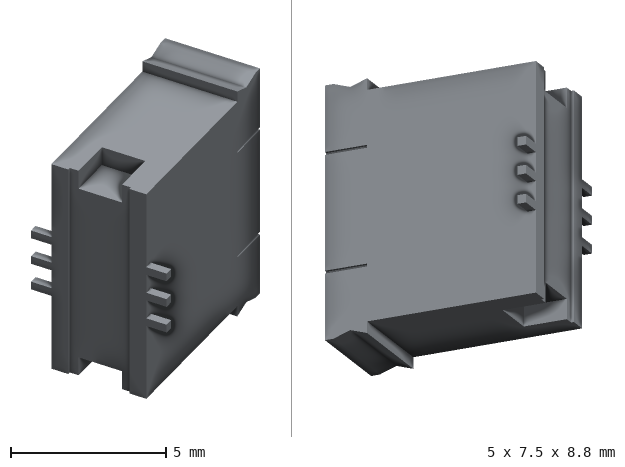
import cadquery as cq

body_width = 3.5
body_length = 7.5
body_height = 8.0

flange_length = 1.5
flange_rise = 0.4
flange_land = 0.3
valley_depth = 0.2

slit_thickness = 0.1
slit_depth = 0.1
slit_inner_height = 2.0

channel_width = 2.25
channel_depth = 0.1

pocket_width = 1.6
pocket_length = 1.53
pocket_depth = 0.7

tail_size = 0.3
tail_pitch = 1.0
tails_per_side = 3
tail_span = 5.0

half_height = body_height / 2
flange_half_height = half_height + flange_rise


def make_box(x_range, y_range, z_range):
    """Axis-aligned box between the given limits."""
    size = [high - low for low, high in (x_range, y_range, z_range)]
    corner = (x_range[0], y_range[0], z_range[0])
    return cq.Workplane("XY").box(*size, centered=False).translate(corner)


def make_housing():
    """Block and flange, drawn as one side profile and extruded across X."""
    flange_start = body_length - flange_length
    land_start = body_length - flange_land
    valley_y = (flange_start + land_start) / 2
    valley_height = flange_half_height - valley_depth
    upper_outline = [
        (0, half_height),
        (flange_start, half_height),
        (flange_start, flange_half_height),
        (valley_y, valley_height),
        (land_start, flange_half_height),
        (body_length, flange_half_height),
    ]
    lower_outline = [(y, -z) for y, z in reversed(upper_outline)]
    profile = cq.Workplane("YZ").polyline(upper_outline + lower_outline).close()
    return profile.extrude(body_width / 2, both=True)


def cut_slits(body):
    """Slits above and below the mid-plane on both sides, open at the mating end."""
    upper_slit = make_box(
        (body_width / 2 - slit_depth, body_width / 2),
        (body_length - flange_length, body_length),
        (slit_inner_height, slit_inner_height + slit_thickness),
    )
    lower_slit = upper_slit.mirror("XY")
    for slit in (upper_slit, lower_slit):
        body = body.cut(slit).cut(slit.mirror("YZ"))
    return body


def cut_channel(body):
    """Full-height channel in the middle of the mounting face."""
    channel = make_box(
        (-channel_width / 2, channel_width / 2),
        (0, channel_depth),
        (-half_height, half_height),
    )
    return body.cut(channel)


def cut_pockets(body):
    """Matching pockets in the top and bottom, open to the channel."""
    upper_pocket = make_box(
        (-pocket_width / 2, pocket_width / 2),
        (0, channel_depth + pocket_length),
        (half_height - pocket_depth, half_height),
    )
    return body.cut(upper_pocket).cut(upper_pocket.mirror("XY"))


def add_tails(body):
    """Rows of contact tails running outward from both channel edges."""
    for index in range(tails_per_side):
        tail_z = (index - (tails_per_side - 1) / 2) * tail_pitch
        right_tail = make_box(
            (channel_width / 2, tail_span / 2),
            (0, tail_size),
            (tail_z - tail_size / 2, tail_z + tail_size / 2),
        )
        left_tail = right_tail.mirror("YZ")
        body = body.union(right_tail, clean=False).union(left_tail, clean=False)
    return body


housing = cut_pockets(cut_channel(cut_slits(make_housing())))
result = add_tails(housing)